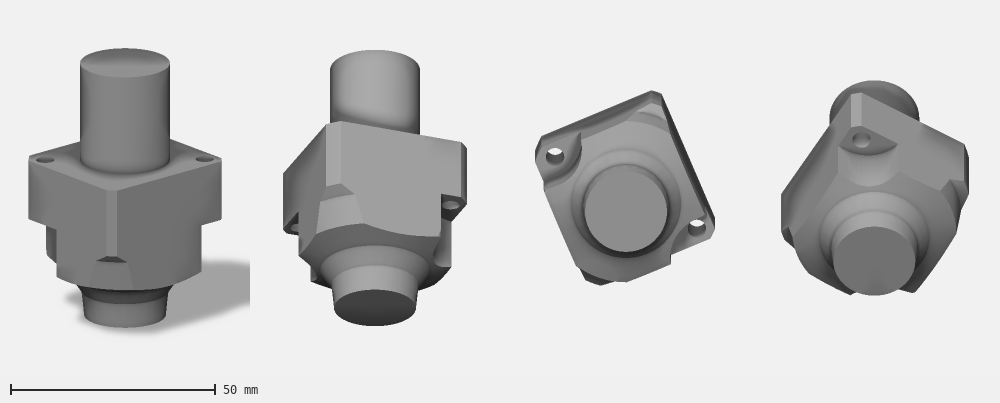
import cadquery as cq

total_height = 65.0
block_top = 40.05

flat_left = 17.5
flat_right = 16.5
block_depth = 37.0

shank_diameter = 22.0
blank_radius = 23.5
ledge_drop = 2.3
ledge_top = 23.0
skirt_top = (blank_radius - ledge_drop, ledge_top - ledge_drop)
skirt_bottom = (20.0, 13.2)
neck_top = (13.45, 10.35)
nose_top = (10.65, 6.3)
nose_bottom = (10.0, 0)

hole_diameter = 4.5
hole_x = 12.5
hole_y = 14.95
pocket_top = 24.95
pocket_radius = 10.0
pocket_center_x = 13.9
pocket_wall_y = 10.45
pocket_center_y = pocket_wall_y + pocket_radius


def make_turned_block():
    """Revolve the block profile and trim it to its four flats."""
    turned = (
        cq.Workplane("XZ")
        .moveTo(0, 0)
        .lineTo(*nose_bottom)
        .lineTo(*nose_top)
        .lineTo(*neck_top)
        .lineTo(*skirt_bottom)
        .lineTo(*skirt_top)
        .lineTo(blank_radius, ledge_top)
        .lineTo(blank_radius, block_top)
        .lineTo(0, block_top)
        .close()
        .revolve(360, (0, 0, 0), (0, 1, 0))
    )
    flats = (
        cq.Workplane("XY")
        .center((flat_right - flat_left) / 2, 0)
        .rect(flat_left + flat_right, block_depth)
        .extrude(block_top)
    )
    return turned.intersect(flats)


def make_corner_pocket():
    """Clearance for the front-left corner: a rounded end and a straight run out to the left."""
    rounded_end = (
        cq.Workplane("XY")
        .center(-pocket_center_x, -pocket_center_y)
        .circle(pocket_radius)
        .extrude(pocket_top)
    )
    straight_run = (
        cq.Workplane("XY")
        .moveTo(-pocket_center_x, -pocket_wall_y)
        .lineTo(-blank_radius, -pocket_wall_y)
        .lineTo(-blank_radius, -pocket_center_y)
        .lineTo(-pocket_center_x, -pocket_center_y)
        .close()
        .extrude(pocket_top)
    )
    return rounded_end.union(straight_run)


block = make_turned_block()

pocket = make_corner_pocket()
for turn in (0, 180):
    block = block.cut(pocket.rotate((0, 0, 0), (0, 0, 1), turn))

holes = (
    cq.Workplane("XY")
    .pushPoints([(-hole_x, -hole_y), (hole_x, hole_y)])
    .circle(hole_diameter / 2)
    .extrude(block_top)
)

shank = (
    cq.Workplane("XY")
    .workplane(offset=block_top)
    .circle(shank_diameter / 2)
    .extrude(total_height - block_top)
)

result = block.cut(holes).union(shank)